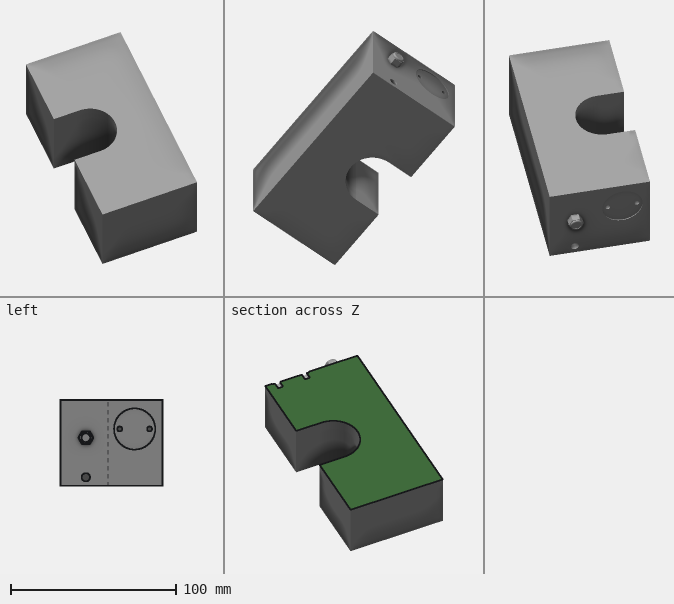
import cadquery as cq
import math

total_length = 126.0
depth = 62.0
height = 52.0

connector_length = 5.8
hex_length = 4.5
hex_across_flats = 8.0
collar_diameter = 7.5
collar_rim_radius = 0.9
bore_diameter = 5.3
bore_depth = 0.3
connector_y = 46.5
connector_z = 29.1

slot_width = 32.5
slot_axis_y = 17.0

cover_diameter = 25.0
cover_recess = 0.5
cover_y = slot_axis_y
cover_z = height - 17.6
spanner_hole_diameter = 3.0
spanner_hole_spacing = 18.0
spanner_hole_depth = 5.0

lower_hole_diameter = 5.0
lower_hole_depth = 10.1
lower_hole_z = 5.2

body_length = total_length - connector_length


def end_face_plane(y, z, x=0.0):
    """Plane at x, parallel to the end face at x = 0, with its normal pointing out along -X."""
    return cq.Workplane("YZ", origin=(x, y, z)).workplane(invert=True)


def blind_hole(y, z, diameter, hole_depth):
    """Cylinder that cuts inward from the end face."""
    return end_face_plane(y, z).circle(diameter / 2).extrude(-hole_depth)


def make_body():
    """Plain block with a round-ended slot through its full height."""
    block = cq.Workplane("XY").box(body_length, depth, height, centered=False)
    slot_radius = slot_width / 2
    slot = (
        cq.Workplane("XY")
        .moveTo(body_length / 2 - slot_radius, 0)
        .lineTo(body_length / 2 - slot_radius, slot_axis_y)
        .threePointArc(
            (body_length / 2, slot_axis_y + slot_radius),
            (body_length / 2 + slot_radius, slot_axis_y),
        )
        .lineTo(body_length / 2 + slot_radius, 0)
        .close()
        .extrude(height)
    )
    return block.cut(slot)


def cut_cover(body):
    """Sink the cover below the end face and drill its two spanner holes."""
    body = body.cut(blind_hole(cover_y, cover_z, cover_diameter, cover_recess))
    for side in (-1, 1):
        hole_y = cover_y + side * spanner_hole_spacing / 2
        body = body.cut(blind_hole(hole_y, cover_z, spanner_hole_diameter, spanner_hole_depth))
    return body


def make_connector():
    """Hexagon nut with a round-edged collar and a shallow bore in its tip."""
    hex_across_corners = hex_across_flats / math.cos(math.pi / 6)
    nut = end_face_plane(connector_y, connector_z).polygon(6, hex_across_corners).extrude(hex_length)
    collar = (
        end_face_plane(connector_y, connector_z, -hex_length)
        .circle(collar_diameter / 2)
        .extrude(connector_length - hex_length)
        .faces("<X")
        .edges()
        .fillet(collar_rim_radius)
    )
    bore = (
        end_face_plane(connector_y, connector_z, -connector_length)
        .circle(bore_diameter / 2)
        .extrude(-bore_depth)
    )
    return nut.union(collar).cut(bore)


body = cut_cover(make_body())
body = body.cut(blind_hole(connector_y, lower_hole_z, lower_hole_diameter, lower_hole_depth))
result = body.union(make_connector())